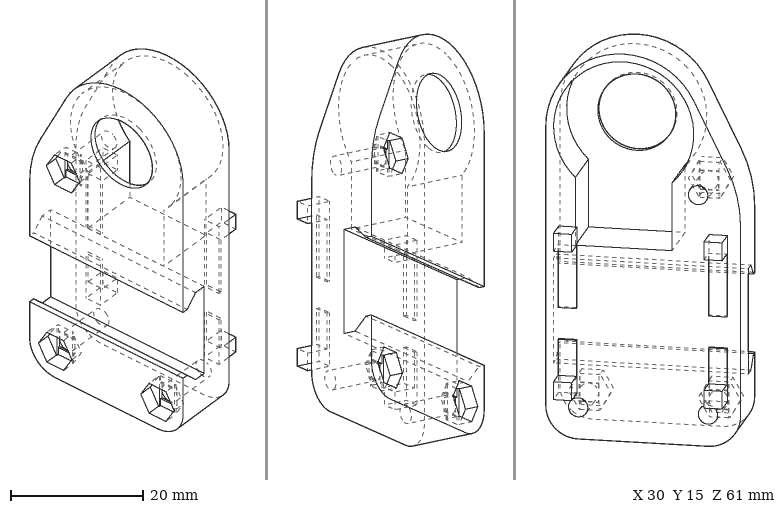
import cadquery as cq
import math

width = 30.0
height = 61.0
plate_depth = 11.0
total_depth = 15.0
corner_radius = 5.0
head_radius = 12.0
shoulder_radius = 20.0
shoulder_height = 35.0

bore_x = width - head_radius
bore_z = height - head_radius
bore_diameter = 12.0
cavity_diameter = 21.6
lip_depth = 1.0
channel_width = 14.9
channel_bottom = 30.5

slot_bottom = 10.0
slot_top = 26.5
slot_depth = 5.0
slot_overhang = 2.0
slot_lip_depth = 1.0

screw_diameter = 3.0
nut_corner_diameter = 6.5
nut_depth = 2.25
step_depth = 0.3
screw_positions = [
    (corner_radius, corner_radius),
    (width - corner_radius, corner_radius),
    (6.5, 39.45),
]

post_size = 2.8
post_inset = 2.0
lower_post_bottom = 7.2
upper_post_top = 33.35
pad_height = 0.5
lower_pad_top = 15.7
upper_pad_bottom = 20.7


def front_plane(y):
    """Sketch plane parallel to the front face; sketch axes are X and Z, extrusion runs to +Y."""
    return cq.Workplane(cq.Plane(origin=(0, y, 0), xDir=(1, 0, 0), normal=(0, -1, 0)))


def block(x0, x1, y0, y1, z0, z1):
    return cq.Workplane("XY").box(x1 - x0, y1 - y0, z1 - z0, centered=False).translate((x0, y0, z0))


def plate():
    offset_x = shoulder_radius - bore_x
    offset_z = bore_z - shoulder_height
    radius_difference = shoulder_radius - head_radius
    tilt = math.asin(radius_difference / math.hypot(offset_x, offset_z)) - math.atan2(offset_x, offset_z)

    def point_on_shoulder(angle):
        return (shoulder_radius * (1 - math.cos(angle)), shoulder_height + shoulder_radius * math.sin(angle))

    head_tangent = (bore_x - head_radius * math.cos(tilt), bore_z + head_radius * math.sin(tilt))
    outline = (
        front_plane(0)
        .moveTo(0, 0)
        .lineTo(width, 0)
        .lineTo(width, bore_z)
        .threePointArc((bore_x, height), head_tangent)
        .lineTo(*point_on_shoulder(tilt))
        .threePointArc(point_on_shoulder(tilt / 2), (0, shoulder_height))
        .close()
    )
    body = outline.extrude(-plate_depth)
    return body.edges("|Y").edges("<Z").fillet(corner_radius)


def head_cavity():
    bore = front_plane(0).center(bore_x, bore_z).circle(bore_diameter / 2).extrude(-plate_depth)
    cavity = front_plane(lip_depth).center(bore_x, bore_z).circle(cavity_diameter / 2).extrude(-plate_depth)
    channel_left = bore_x - channel_width / 2
    channel_right = bore_x + channel_width / 2
    channel = block(channel_left, channel_right, lip_depth, plate_depth, channel_bottom, bore_z)
    return bore.union(cavity).union(channel)


def rail_slot():
    mouth_bottom = slot_bottom + slot_overhang
    mouth_top = slot_top - slot_overhang
    undercut_depth = slot_lip_depth + slot_overhang
    profile = [
        (0, mouth_bottom),
        (slot_lip_depth, mouth_bottom),
        (undercut_depth, slot_bottom),
        (slot_depth, slot_bottom),
        (slot_depth, slot_top),
        (undercut_depth, slot_top),
        (slot_lip_depth, mouth_top),
        (0, mouth_top),
    ]
    return cq.Workplane("YZ").polyline(profile).close().extrude(width)


def screw_hole(x, z):
    """Nut pocket, then a slot, then a square, then the round hole through to the back."""
    slot_length = nut_corner_diameter * math.cos(math.pi / 6)
    start = front_plane(0).center(x, z)
    nut = start.polygon(6, nut_corner_diameter).extrude(-nut_depth)
    slot = start.rect(screw_diameter, slot_length).extrude(-(nut_depth + step_depth))
    square = start.rect(screw_diameter, screw_diameter).extrude(-(nut_depth + 2 * step_depth))
    hole = start.circle(screw_diameter / 2).extrude(-plate_depth)
    return nut.union(slot).union(square).union(hole)


def posts_and_pads(x):
    right = x + post_size
    pad_back = plate_depth + pad_height
    lower_post = block(x, right, plate_depth, total_depth, lower_post_bottom, lower_post_bottom + post_size)
    lower_pad = block(x, right, plate_depth, pad_back, lower_post_bottom, lower_pad_top)
    upper_post = block(x, right, plate_depth, total_depth, upper_post_top - post_size, upper_post_top)
    upper_pad = block(x, right, plate_depth, pad_back, upper_pad_bottom, upper_post_top)
    return lower_post.union(lower_pad).union(upper_post).union(upper_pad)


result = plate()
for post_x in (post_inset, width - post_inset - post_size):
    result = result.union(posts_and_pads(post_x))
result = result.cut(head_cavity()).cut(rail_slot())
for screw_x, screw_z in screw_positions:
    result = result.cut(screw_hole(screw_x, screw_z))